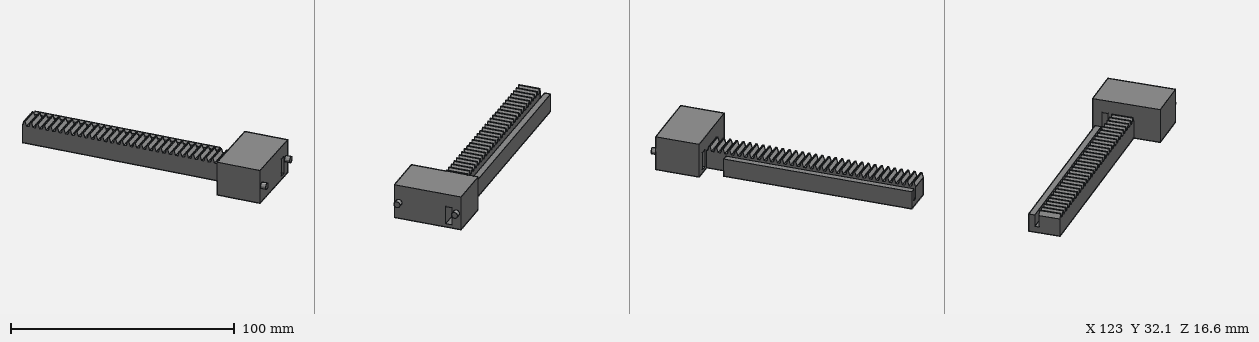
import cadquery as cq

OVERALL_LENGTH = 123.0

RACK_LENGTH = 99.8
RACK_FRONT_Y = 12.5
TOOTH_WIDTH = 10.0
SLIT_WIDTH = 2.0
RAIL_WIDTH = 3.0
RAIL_LENGTH = 89.8
SLIT_FLOOR_Z = 3.0

TOOTH_COUNT = 32
FIRST_TO_LAST_TOOTH = 97.4
TOOTH_PITCH = FIRST_TO_LAST_TOOTH / (TOOTH_COUNT - 1)
TOOTH_HEIGHT = 2.2
TOOTH_TIP_WIDTH = 0.6
TOOTH_ROOT_WIDTH = 2.1
TOOTH_TIP_Z = 11.0
TOOTH_ROOT_Z = TOOTH_TIP_Z - TOOTH_HEIGHT
FIRST_TOOTH_X = TOOTH_ROOT_WIDTH / 2

BLOCK_LENGTH = 20.8
BLOCK_WIDTH = 32.1
BLOCK_HEIGHT = 16.6
SLOT_WIDTH = 3.0
SLOT_FRONT_Y = 24.7
SLOT_FLOOR_Z = 1.7
SLOT_TOP_Z = 10.3
PIN_DIAMETER = 3.0
PIN_LENGTH = OVERALL_LENGTH - RACK_LENGTH - BLOCK_LENGTH
PIN_Z = 8.1
PIN_EDGE_DISTANCE = 2.2
PIN_YS = (PIN_EDGE_DISTANCE, BLOCK_WIDTH - PIN_EDGE_DISTANCE)


def box(x, y, z, length, width, height):
    """Axis-aligned box from its lowest corner and its sizes."""
    return cq.Workplane("XY").box(length, width, height, centered=False).translate((x, y, z))


def tooth_gap(center_x):
    """Trapezoidal prism that clears the space between two neighbouring teeth."""
    half_root = (TOOTH_PITCH - TOOTH_ROOT_WIDTH) / 2
    half_mouth = (TOOTH_PITCH - TOOTH_TIP_WIDTH) / 2
    return (
        cq.Workplane("XZ", origin=(center_x, RACK_FRONT_Y, 0))
        .polyline([
            (-half_root, TOOTH_ROOT_Z),
            (half_root, TOOTH_ROOT_Z),
            (half_mouth, TOOTH_TIP_Z),
            (-half_mouth, TOOTH_TIP_Z),
        ])
        .close()
        .extrude(-TOOTH_WIDTH)
    )


def make_rack():
    """Toothed bar joined to its rail below the slit."""
    rack = box(0, RACK_FRONT_Y, 0, RACK_LENGTH, TOOTH_WIDTH, TOOTH_TIP_Z)
    for index in range(TOOTH_COUNT + 1):
        midway_x = FIRST_TOOTH_X + (index - 0.5) * TOOTH_PITCH
        rack = rack.cut(tooth_gap(midway_x))

    slit_y = RACK_FRONT_Y + TOOTH_WIDTH
    slit_floor = box(0, slit_y, 0, RAIL_LENGTH, SLIT_WIDTH, SLIT_FLOOR_Z)
    rail = box(0, slit_y + SLIT_WIDTH, 0, RAIL_LENGTH, RAIL_WIDTH, TOOTH_ROOT_Z)
    return rack.union(slit_floor).union(rail)


def make_housing():
    """Block against the end of the toothed bar, with a through slot and two pins."""
    block = box(RACK_LENGTH, 0, 0, BLOCK_LENGTH, BLOCK_WIDTH, BLOCK_HEIGHT)
    slot = box(RACK_LENGTH, SLOT_FRONT_Y, SLOT_FLOOR_Z,
               BLOCK_LENGTH, SLOT_WIDTH, SLOT_TOP_Z - SLOT_FLOOR_Z)
    pins = (
        cq.Workplane("YZ", origin=(RACK_LENGTH + BLOCK_LENGTH, 0, 0))
        .pushPoints([(y, PIN_Z) for y in PIN_YS])
        .circle(PIN_DIAMETER / 2)
        .extrude(PIN_LENGTH)
    )
    return block.cut(slot).union(pins)


rack = make_rack()
housing = make_housing()

result = cq.Compound.makeCompound([rack.val(), housing.val()])